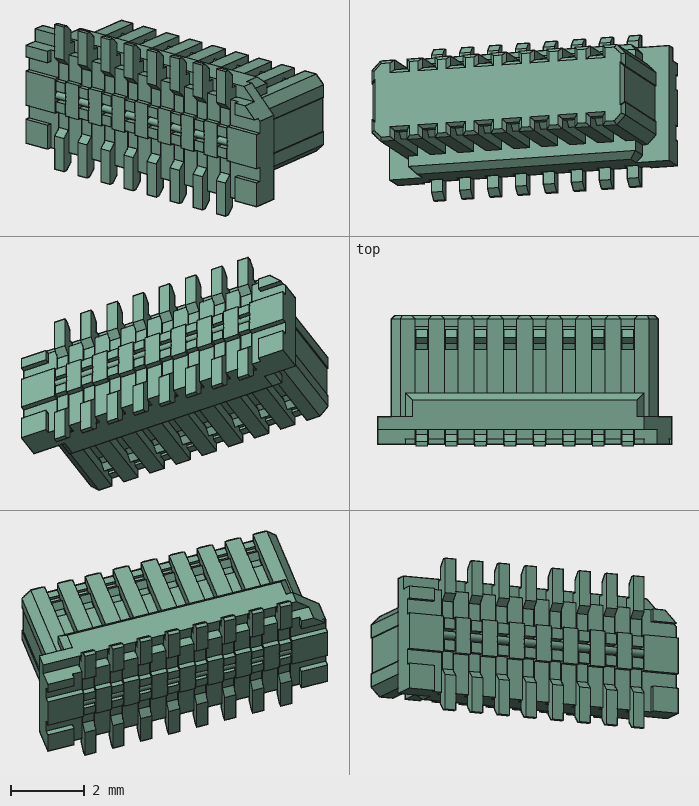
import cadquery as cq


pin_count = 8
pitch = 0.8
pin_width = 0.32
slot_width = 0.36
column_positions = [(i - (pin_count - 1) / 2) * pitch for i in range(pin_count)]

base_length = 8.0
base_height = 3.2
base_front = 0.05
base_back = 0.8
base_corner_cut = 0.76
step_y = 0.46
step_z = 1.24

floor_y = 0.19
center_band_half = 0.5
pad_edge_z = 0.9
pad_inner_x = 3.25

shoulder_length = 2 * pad_inner_x
shoulder_back = 1.45
shoulder_chamfer = 0.19

shroud_half_length = 3.63
shroud_half_height = 1.12
shroud_corner_cut = 0.26
shroud_back = 3.55
shroud_lead_in = 0.1
side_inset = 0.03
slot_end_floor_z = 0.85
slot_floor_z = 0.76
slot_floor_end = 3.26

foot_span = 4.2
foot_tip_z = foot_span / 2
foot_thickness = 0.31
foot_chamfer = 0.19
foot_heel_z = 1.14
pin_shoulder_z = 1.55
hook_outer_z = 0.45
hook_opening = 0.31
hook_inner_z = hook_opening / 2
bar_radius = 0.1

bump_tip_y = 3.18
bump_peak_y = 2.95
bump_knee_y = 2.79
bump_end_y = 2.63
bump_knee_rise = 0.06


def box(x0, x1, y0, y1, z0, z1):
    """Block between opposite corners."""
    return cq.Workplane("XY").box(x1 - x0, y1 - y0, z1 - z0, centered=False).translate((x0, y0, z0))


def centered_box(length, y0, y1, z0, z1):
    """Block centred on X = 0."""
    return box(-length / 2, length / 2, y0, y1, z0, z1)


def with_mirrored_row(body):
    """Both rows: a shape and its mirror image across Z = 0."""
    return body.union(body.mirror("XY"))


def at_columns(body):
    """Copies of one contact feature at every column."""
    copies = cq.Workplane("XY")
    for x in column_positions:
        copies = copies.add(body.translate((x, 0, 0)))
    return copies.combine()


def make_base():
    half_length = base_length / 2
    half_height = base_height / 2
    base = centered_box(base_length, base_front, base_back, -half_height, half_height)

    recess = centered_box(2 * pad_inner_x, base_front, floor_y, center_band_half, half_height)
    channel = centered_box(base_length, base_front, floor_y, center_band_half, pad_edge_z)
    base = base.cut(with_mirrored_row(recess.union(channel)))
    base = base.cut(centered_box(base_length, base_front, step_y, step_z, half_height))

    slot = centered_box(slot_width, base_front, step_y, -half_height, step_z)
    bar_axis_y = base_front + bar_radius
    bar = centered_box(slot_width, bar_axis_y, step_y, -bar_radius, bar_radius)
    bar_nose = (
        cq.Workplane("YZ")
        .center(bar_axis_y, 0)
        .circle(bar_radius)
        .extrude(slot_width / 2, both=True)
    )
    base = base.cut(at_columns(slot)).union(at_columns(bar.union(bar_nose)))

    corner = (
        cq.Workplane("XZ")
        .moveTo(half_length, half_height)
        .lineTo(half_length - base_corner_cut, half_height)
        .lineTo(half_length, half_height - base_corner_cut)
        .close()
        .extrude(-base_back)
    )
    return base.cut(corner)


def make_shoulder():
    shoulder = centered_box(shoulder_length, base_back, shoulder_back, -base_height / 2, base_height / 2)
    return shoulder.faces("|Z").edges("not <Y").chamfer(shoulder_chamfer)


def make_shroud():
    side_x = shroud_half_length
    top_z = shroud_half_height
    shroud = centered_box(2 * side_x, base_back, shroud_back, -top_z, top_z)
    shroud = shroud.edges("|Y").chamfer(shroud_corner_cut)

    for x in (-side_x, side_x - side_inset):
        shroud = shroud.cut(
            box(x, x + side_inset, base_back, shroud_back, -center_band_half, center_band_half)
        )

    mouth = centered_box(slot_width, shoulder_back, shroud_back, slot_end_floor_z, top_z)
    shroud = shroud.cut(at_columns(with_mirrored_row(mouth)))
    shroud = shroud.faces(">Y").chamfer(shroud_lead_in)
    deep_slot = centered_box(slot_width, shoulder_back, slot_floor_end, slot_floor_z, top_z)
    return shroud.cut(at_columns(with_mirrored_row(deep_slot)))


def make_foot():
    """Upper-row contact: foot beyond the base, heel sloping back, hook at the middle of the base."""
    return (
        cq.Workplane("YZ")
        .polyline([
            (0, foot_heel_z),
            (0, foot_tip_z),
            (foot_thickness - foot_chamfer, foot_tip_z),
            (foot_thickness, foot_tip_z - foot_chamfer),
            (foot_thickness, pin_shoulder_z),
            (step_y, pin_shoulder_z),
            (step_y, hook_inner_z),
            (base_front, hook_inner_z),
            (base_front, hook_outer_z),
            (floor_y, hook_outer_z),
            (floor_y, foot_heel_z - floor_y),
        ])
        .close()
        .extrude(pin_width / 2, both=True)
    )


def make_bump():
    """Upper-row contact bump that stands on the floor of a shroud slot."""
    peak_z = slot_floor_z + bump_tip_y - bump_peak_y
    return (
        cq.Workplane("YZ")
        .polyline([
            (bump_tip_y, slot_floor_z),
            (bump_peak_y, peak_z),
            (bump_knee_y, slot_floor_z + bump_knee_rise),
            (bump_end_y, slot_floor_z),
        ])
        .close()
        .extrude(pin_width / 2, both=True)
    )


housing = make_base().union(make_shoulder()).union(make_shroud())
contacts = at_columns(with_mirrored_row(make_foot())).union(at_columns(with_mirrored_row(make_bump())))
result = housing.union(contacts)